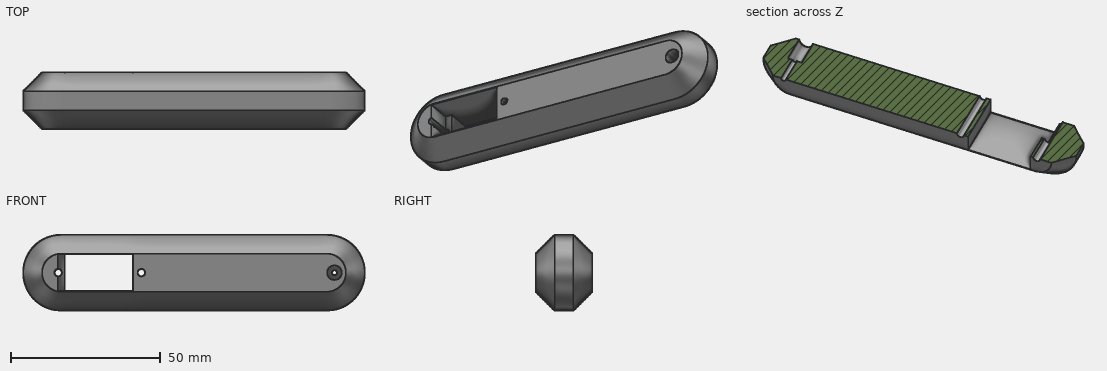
import cadquery as cq

length = 114.3
thickness = 19.05
height = 25.4
chamfer = thickness / 3
left_end = -length / 2
right_end = length / 2
front_face = -thickness / 2

pocket_height = 12.2
pocket_left = left_end + 11.6
window_left = left_end + 14.0
window_right = left_end + 36.7
ledge_depth = thickness / 2

screw_diameter = 2.4
screw_spacing = 27.8
left_screw_x = left_end + 11.75
right_screw_x = left_screw_x + screw_spacing

pivot_x = right_end - 10.2
pivot_diameter = 1.6
counterbore_diameter = 4.9
counterbore_depth = thickness / 2


def make_body():
    """Bar with fully rounded ends, centred on the origin."""
    bar = cq.Workplane("XZ").slot2D(length, height).extrude(thickness / 2, both=True)
    return bar.faces("<Y or >Y").chamfer(chamfer)


def box_cut(x_start, x_end, depth):
    """Block the height of the pocket, reaching into the bar from its front face."""
    block = cq.Workplane("XY").box(x_end - x_start, depth, pocket_height, centered=(False, False, True))
    return block.translate((x_start, front_face, 0))


def round_cut(x, diameter, depth):
    """Cylinder along Y, reaching into the bar from its front face."""
    circle = cq.Workplane("XZ", origin=(x, front_face, 0)).circle(diameter / 2)
    return circle.extrude(-depth)


result = make_body()

result = result.cut(box_cut(pocket_left, window_right, ledge_depth))
result = result.cut(box_cut(window_left, window_right, thickness))

for screw_x in (left_screw_x, right_screw_x):
    result = result.cut(round_cut(screw_x, screw_diameter, thickness))

result = result.cut(round_cut(pivot_x, pivot_diameter, thickness))
result = result.cut(round_cut(pivot_x, counterbore_diameter, counterbore_depth))